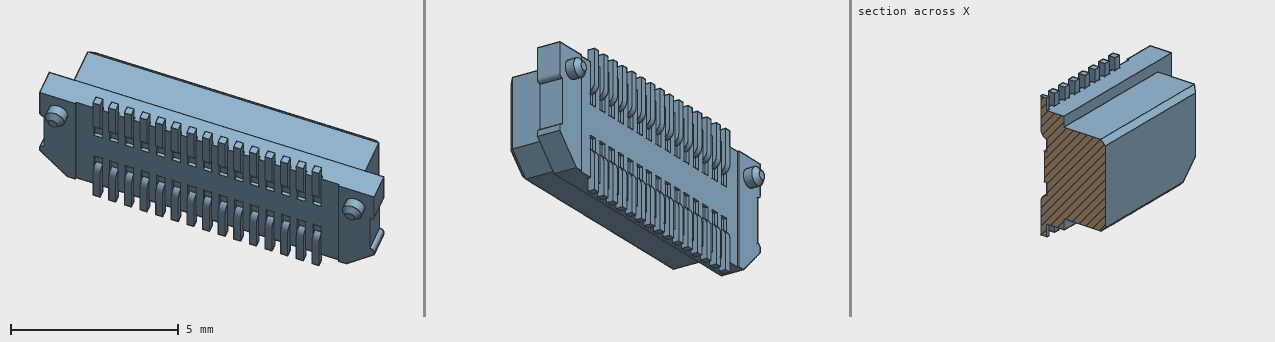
import cadquery as cq
import math


base_length = 10.7
base_height = 3.79
base_depth = 0.8
corner_cut = 0.89
notch_depth = 0.14
notch_height = 1.5
notch_radius = 0.13

relief_length = 8.41
relief_depth = 0.05

body_length = 9.31
body_height = 3.06
body_depth = 1.54
body_corner_cut = 0.72
body_edge_chamfer = 0.17

peg_x = 4.75
peg_z = 1.2
peg_diameter = 0.61
peg_length = 0.46
peg_chamfer = 0.16

pins_per_row = 15
pin_row_length = 7.0
pin_pitch = pin_row_length / (pins_per_row - 1)
pin_width = 0.22
pin_thickness = 0.24
pin_standoff = 0.07
pin_tip_z = 2.31
bend_radius = 0.29
bend_start_z = 1.21
slot_width = 0.27
slot_end_z = 0.51
slot_depth = pin_thickness - pin_standoff


def cut_corner_block(length, height, depth, corner):
    """Block from Y = 0 to Y = depth with both lower corners cut at 45 degrees."""
    block = cq.Workplane("XY").box(length, depth, height, centered=(True, False, True))
    return block.faces("<Z").edges("|Y").chamfer(corner)


def make_base():
    base = cut_corner_block(base_length, base_height, base_depth, corner_cut)

    for side in (-1, 1):
        notch = (
            cq.Workplane("XY")
            .box(2 * notch_depth, base_depth, notch_height, centered=(True, False, True))
            .translate((side * base_length / 2, 0, 0))
        )
        base = base.cut(notch)
    for side in (-1, 1):
        for end in (-1, 1):
            corner = (side * base_length / 2, base_depth / 2, end * notch_height / 2)
            base = base.edges(cq.NearestToPointSelector(corner)).fillet(notch_radius)

    relief = cq.Workplane("XY").box(
        relief_length, relief_depth, base_height, centered=(True, False, True)
    )
    return base.cut(relief)


def make_body():
    body = cut_corner_block(body_length, body_height, body_depth, body_corner_cut)
    return body.faces(">Y").chamfer(body_edge_chamfer).translate((0, base_depth, 0))


def make_peg(x):
    peg = cq.Workplane("XZ").circle(peg_diameter / 2).extrude(peg_length)
    return peg.faces("<Y").chamfer(peg_chamfer).translate((x, 0, peg_z))


def make_slot(x):
    """Channel in an upper-row position, open at the top edge of the base."""
    slot_length = base_height / 2 - slot_end_z
    slot = cq.Workplane("XY").box(slot_width, slot_depth, slot_length, centered=(True, False, False))
    return slot.translate((x, 0, slot_end_z))


def make_pin(x):
    """Upper-row contact: a straight tail whose lower end bends back into the base."""
    front_y = -pin_standoff
    back_y = front_y + pin_thickness
    bend_end_y = front_y + bend_radius
    bend_mid_offset = bend_radius * math.sqrt(0.5)
    return (
        cq.Workplane("YZ")
        .moveTo(back_y, pin_tip_z)
        .lineTo(front_y, pin_tip_z)
        .lineTo(front_y, bend_start_z)
        .threePointArc(
            (bend_end_y - bend_mid_offset, bend_start_z - bend_mid_offset),
            (bend_end_y, bend_start_z - bend_radius),
        )
        .lineTo(bend_end_y, bend_start_z)
        .lineTo(back_y, bend_start_z)
        .close()
        .extrude(pin_width / 2, both=True)
        .translate((x, 0, 0))
    )


result = make_base().union(make_body())

for side in (-1, 1):
    result = result.union(make_peg(side * peg_x))

for index in range(pins_per_row):
    pin_x = index * pin_pitch - pin_row_length / 2
    slot = make_slot(pin_x)
    pin = make_pin(pin_x)
    result = result.cut(slot).cut(slot.mirror("XY"))
    result = result.union(pin).union(pin.mirror("XY"))